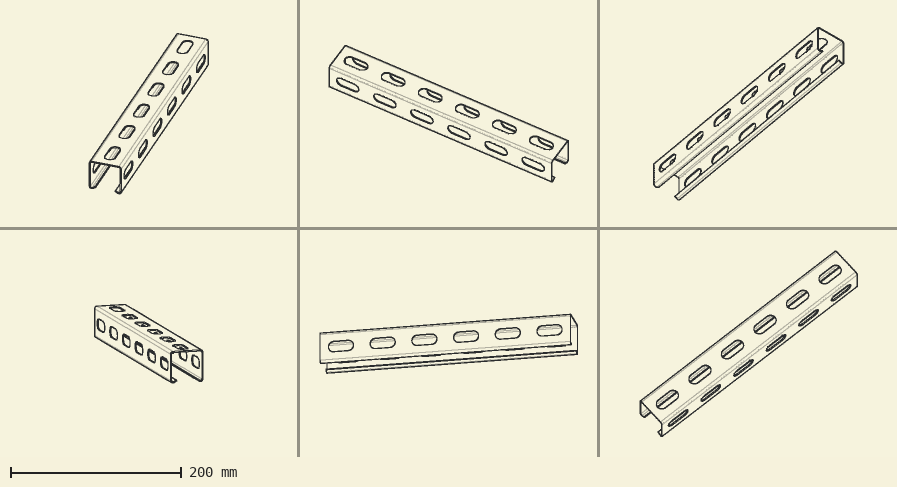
import cadquery as cq
import math

width = 40.0
length = 300.0
height = 37.8

sheet = 1.5
bend_radius = 3.0
lip_angle = 30.0
lip_straight = 4.0

slot_count = 6
slot_length = 30.0
slot_width = 13.0
slot_pitch = length / slot_count
slot_places = [(i - (slot_count - 1) / 2) * slot_pitch for i in range(slot_count)]


def around(center, radius, degrees):
    """Point at an angle on a circle in the cross-section."""
    angle = math.radians(degrees)
    return (center[0] + radius * math.cos(angle), center[1] + radius * math.sin(angle))


def half_section():
    """Left half of the channel section, from the mid-plane to the lip end."""
    inner_radius = bend_radius - sheet
    bend_x = -width / 2 + bend_radius
    top_bend = (bend_x, height / 2 - bend_radius)
    lip_bend = (bend_x, -height / 2 + bend_radius)
    lip_start = 270 + lip_angle
    lip_middle = (180 + lip_start) / 2

    def lip_end(radius):
        return around(around(lip_bend, radius, lip_start), lip_straight, lip_angle)

    return (
        cq.Workplane("XZ", origin=(0, length / 2, 0))
        .moveTo(0, height / 2)
        .lineTo(*around(top_bend, bend_radius, 90))
        .threePointArc(around(top_bend, bend_radius, 135), around(top_bend, bend_radius, 180))
        .lineTo(*around(lip_bend, bend_radius, 180))
        .threePointArc(around(lip_bend, bend_radius, lip_middle), around(lip_bend, bend_radius, lip_start))
        .lineTo(*lip_end(bend_radius))
        .lineTo(*lip_end(inner_radius))
        .lineTo(*around(lip_bend, inner_radius, lip_start))
        .threePointArc(around(lip_bend, inner_radius, lip_middle), around(lip_bend, inner_radius, 180))
        .lineTo(*around(top_bend, inner_radius, 180))
        .threePointArc(around(top_bend, inner_radius, 135), around(top_bend, inner_radius, 90))
        .lineTo(0, height / 2 - sheet)
        .close()
    )


def channel():
    left_half = half_section().extrude(length)
    return left_half.union(left_half.mirror("YZ")).clean()


def web_slots():
    """Cutters for the slots in the top web only."""
    return (
        cq.Workplane("XY")
        .pushPoints([(0, y) for y in slot_places])
        .slot2D(slot_length, slot_width, 90)
        .extrude(height)
    )


def wall_slots():
    """Cutters for the slots through both side walls, at mid-height."""
    return (
        cq.Workplane("YZ")
        .pushPoints([(y, 0) for y in slot_places])
        .slot2D(slot_length, slot_width)
        .extrude(width, both=True)
    )


result = channel().cut(web_slots()).cut(wall_slots())